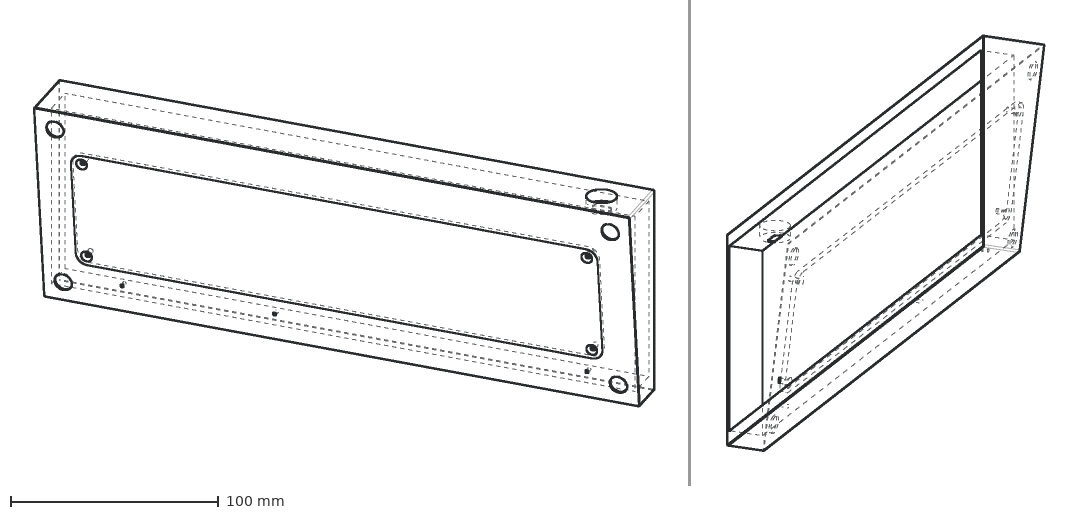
import cadquery as cq
import math

length = 310.0
height = 108.2
top_depth = 32.3
bottom_depth = 19.2
slope_length = math.hypot(height, top_depth - bottom_depth)
slope_angle = math.degrees(math.atan2(top_depth - bottom_depth, height))

end_corner_radius = 1.0
rim_bevel = 0.3

side_wall = 3.0
end_wall = 6.8
cavity_depth = 17.5

plate_length = 274.0
plate_width = 63.0
plate_thickness = 2.5
plate_corner_radius = 6.0

screw_inset_along = 5.5
screw_inset_across = 5.0
screw_hole_diameter = 2.5
countersink_diameter = 5.5
countersink_angle = 90
screw_hole_depth = 6.2

foot_diameter = 9.0
foot_depth = 1.0
foot_inset = 10.5

board_hole_diameter = 1.6
board_hole_height = -39.7
board_hole_places = [-113.8, -34.5, 128.0]
board_hole_bottom = 20.5

port_from_right = 21.0
port_diameter = 15.0
port_depth = 6.2
slot_length = 10.2
slot_width = 4.3

slope_frame = cq.Plane(
    origin=(0, -(top_depth + bottom_depth) / 2, 0), xDir=(1, 0, 0), normal=(0, -1, 0)
).rotated((slope_angle, 0, 0))


def corner_points(half_x, half_y):
    return [(sx * half_x, sy * half_y) for sx in (-1, 1) for sy in (-1, 1)]


screw_points = corner_points(
    plate_length / 2 - screw_inset_along, plate_width / 2 - screw_inset_across
)
foot_points = corner_points(length / 2 - foot_inset, slope_length / 2 - foot_inset)


def make_plate_blank():
    """Rounded plate whose outer side lies in the sloping face."""
    return (
        cq.Workplane(slope_frame)
        .rect(plate_length, plate_width)
        .extrude(-plate_thickness)
        .edges(cq.selectors.ParallelDirSelector(slope_frame.zDir))
        .fillet(plate_corner_radius)
    )


def make_wedge():
    half = height / 2
    return (
        cq.Workplane("YZ")
        .polyline([(0, -half), (0, half), (-top_depth, half), (-bottom_depth, -half)])
        .close()
        .extrude(length / 2, both=True)
        .edges("|Y")
        .fillet(end_corner_radius)
        .faces(">Y")
        .chamfer(rim_bevel)
        .faces(cq.selectors.DirectionMinMaxSelector(slope_frame.zDir))
        .chamfer(rim_bevel)
    )


def make_cavity():
    return (
        cq.Workplane("XZ")
        .rect(length - 2 * side_wall, height - 2 * end_wall)
        .extrude(cavity_depth)
    )


def make_port():
    """Round recess in the top wall with a slot through to the interior."""
    outer = cq.Workplane(
        "XY", origin=(length / 2 - port_from_right, -top_depth / 2, height / 2)
    )
    recess = outer.circle(port_diameter / 2).extrude(-port_depth)
    slot = outer.slot2D(slot_length, slot_width).extrude(-end_wall)
    return recess.union(slot)


def make_board_holes():
    points = [(x, board_hole_height) for x in board_hole_places]
    return (
        cq.Workplane("XZ")
        .pushPoints(points)
        .circle(board_hole_diameter / 2)
        .extrude(board_hole_bottom)
    )


def make_housing():
    feet = cq.Workplane(slope_frame).pushPoints(foot_points).circle(foot_diameter / 2)
    screw_holes = cq.Workplane(slope_frame).pushPoints(screw_points).circle(screw_hole_diameter / 2)
    return (
        make_wedge()
        .cut(make_cavity())
        .cut(make_board_holes())
        .cut(make_port())
        .cut(feet.extrude(-foot_depth))
        .cut(screw_holes.extrude(-screw_hole_depth))
        .cut(make_plate_blank())
    )


def make_plate():
    return (
        make_plate_blank()
        .copyWorkplane(cq.Workplane(slope_frame))
        .pushPoints(screw_points)
        .cskHole(screw_hole_diameter, countersink_diameter, countersink_angle)
    )


housing = make_housing()
cover_plate = make_plate()
result = cq.Compound.makeCompound([housing.val(), cover_plate.val()])